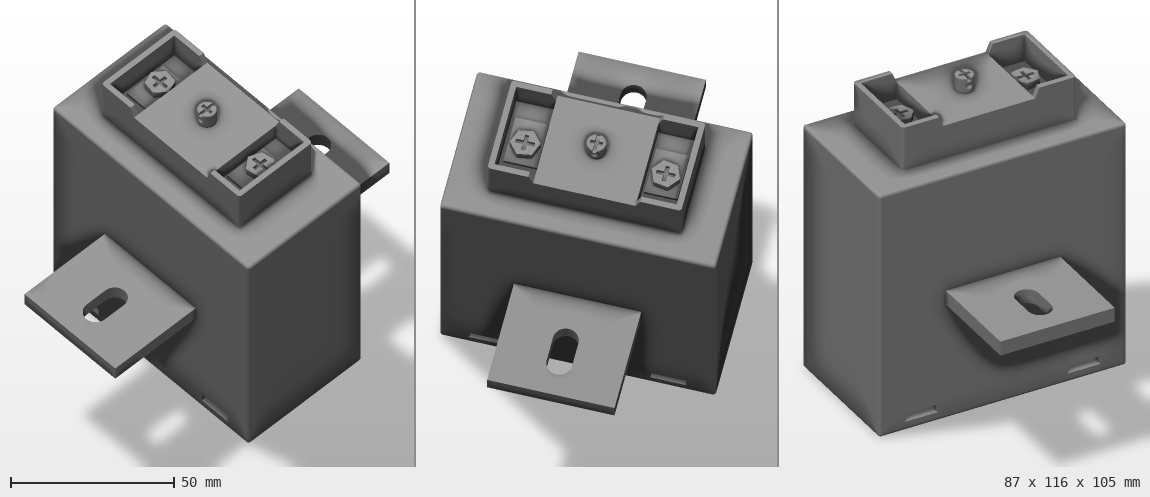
import cadquery as cq
housing_width = 87.0
housing_depth = 48.0
housing_height = 87.0
housing_edge_radius = 1.0

bar_length = 116.0
bar_width = 40.1
bar_thickness = 5.0
bar_slot_length = 16.0
bar_slot_width = 8.0
bar_slot_end_distance = 15.0

foot_slot_width = 11.4
foot_slot_height = 2.8
foot_slot_x = 28.5
foot_slot_z = 4.5

box_width = 61.1
box_depth = 31.0
box_top = 103.0
box_corner_radius = 1.0
box_base_radius = 0.9

saddle_z = 99.5
saddle_bottom_half = 16.1
saddle_top_half = 17.6

pocket_wall = 1.9
pocket_floor = 93.4

terminal_x = 22.2
plate_width = 10.5
plate_depth = 15.3
plate_thickness = 1.0
screw_y = 1.3
screw_corner_diameter = 9.4
screw_head_height = 2.5
screw_turn = 9.0
screw_cross_length_x = 6.0
screw_cross_length_y = 5.2
screw_cross_width = 1.3
screw_cross_depth = 1.2

stud_top = 105.0
stud_diameter = 6.0
stud_chamfer = 0.2
stud_cross_width = 1.2
stud_cross_length_x = 4.1
stud_cross_depth = 1.3
stud_hole_z = 102.1
stud_hole_diameter = 1.4
stud_hole_mouth_radius = 0.5

margin = 0.1


def box_between(width, depth, bottom, top, x=0.0, y=0.0):
    """Upright block centred at (x, y), reaching from bottom to top."""
    height = top - bottom
    return cq.Workplane("XY").box(width, depth, height, (True, True, False)).translate((x, y, bottom))


def make_cross(length_x, length_y, width, bottom, top, x=0.0, y=0.0):
    """Cutter for a cross recess."""
    arm_x = box_between(length_x, width, bottom, top, x, y)
    arm_y = box_between(width, length_y, bottom, top, x, y)
    return arm_x.union(arm_y)


def make_housing():
    """Block with rounded edges, carrying the terminal box on a filleted base."""
    block = box_between(housing_width, housing_depth, 0, housing_height)
    block = block.edges().fillet(housing_edge_radius)
    box = box_between(box_width, box_depth, housing_height, box_top)
    box = box.edges("|Z").fillet(box_corner_radius)
    base_edges = cq.selectors.BoxSelector(
        (-box_width / 2 - margin, -box_depth / 2 - margin, housing_height - margin),
        (box_width / 2 + margin, box_depth / 2 + margin, housing_height + margin),
        boundingbox=True,
    )
    return block.union(box).edges(base_edges).fillet(box_base_radius)


def make_saddle_cutter():
    """Trapezoidal prism that lowers the middle of the box right across its depth."""
    outline = [
        (-saddle_bottom_half, saddle_z),
        (saddle_bottom_half, saddle_z),
        (saddle_top_half, box_top),
        (-saddle_top_half, box_top),
    ]
    return cq.Workplane("XZ").polyline(outline).close().extrude(box_depth / 2, both=True)


def make_pocket_cutter(side):
    """Pocket between the end wall of the box and the saddle; side is -1 or 1."""
    pocket_end = box_width / 2 - pocket_wall
    width = pocket_end - saddle_bottom_half
    center = (pocket_end + saddle_bottom_half) / 2
    return box_between(width, box_depth - 2 * pocket_wall, pocket_floor, box_top, side * center)


def make_terminal(side):
    """Terminal plate with a cross-recessed hexagon screw; side is -1 or 1."""
    x = side * terminal_x
    plate_top = pocket_floor + plate_thickness
    screw_top = plate_top + screw_head_height
    plate = box_between(plate_width, plate_depth, pocket_floor, plate_top, x)
    head = cq.Workplane("XY").polygon(6, screw_corner_diameter).extrude(screw_head_height)
    head = head.rotate((0, 0, 0), (0, 0, 1), side * screw_turn).translate((x, screw_y, plate_top))
    recess = make_cross(
        screw_cross_length_x, screw_cross_length_y, screw_cross_width,
        screw_top - screw_cross_depth, screw_top, x, screw_y,
    )
    return plate.union(head).cut(recess)


def make_stud():
    """Slotted stud with a hole along Y that is rounded at both mouths."""
    radius = stud_diameter / 2
    stud = cq.Workplane("XY").workplane(offset=saddle_z).circle(radius).extrude(stud_top - saddle_z)
    stud = stud.faces(">Z").chamfer(stud_chamfer)
    recess = make_cross(
        stud_cross_length_x, stud_diameter, stud_cross_width,
        stud_top - stud_cross_depth, stud_top,
    )
    hole = cq.Workplane("XZ").center(0, stud_hole_z).circle(stud_hole_diameter / 2)
    stud = stud.cut(hole.extrude(radius, both=True))
    mouth_reach = stud_hole_diameter / 2 + margin
    mouth_edges = cq.selectors.BoxSelector(
        (-mouth_reach, -radius - margin, stud_hole_z - mouth_reach),
        (mouth_reach, radius + margin, stud_hole_z + mouth_reach),
        boundingbox=True,
    )
    stud = stud.edges(mouth_edges).edges("not |Y").fillet(stud_hole_mouth_radius)
    return stud.cut(recess)


def make_busbar():
    """Flat bar with a lengthwise slot near each end, at mid-height of the housing."""
    slot_y = bar_length / 2 - bar_slot_end_distance
    bar = cq.Workplane("XY").box(bar_width, bar_length, bar_thickness)
    bar = bar.faces(">Z").workplane().pushPoints([(0, -slot_y), (0, slot_y)])
    bar = bar.slot2D(bar_slot_length, bar_slot_width, 90).cutThruAll()
    return bar.translate((0, 0, housing_height / 2))


result = make_housing().cut(make_saddle_cutter()).union(make_busbar()).union(make_stud())

for side in (-1, 1):
    result = result.cut(make_pocket_cutter(side)).union(make_terminal(side))
    foot_slot = cq.Workplane("XY").box(foot_slot_width, housing_depth, foot_slot_height)
    result = result.cut(foot_slot.translate((side * foot_slot_x, 0, foot_slot_z)))